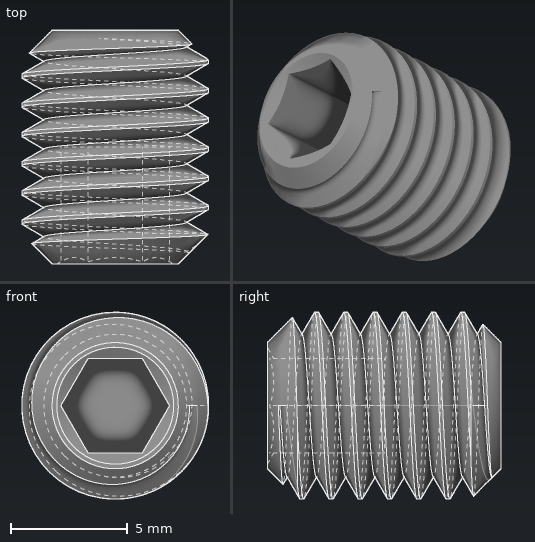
import cadquery as cq
import math


length = 10.0
thread_diameter = 8.0
pitch = 1.25
end_diameter = 5.4
hex_across_flats = 4.03
socket_depth = 5.0
countersink_diameter = 5.0
countersink_half_angle = 60.0
thread_flank_angle = 30.0
groove_turns = 8
groove_end_setback = 0.54
groove_overshoot = 0.06

thread_radius = thread_diameter / 2
end_radius = end_diameter / 2
half_length = length / 2
chamfer = thread_radius - end_radius
crest_width = pitch / 8
flank_slope = math.tan(math.radians(thread_flank_angle))
groove_depth = (pitch - crest_width) / 2 / flank_slope
root_radius = thread_radius - groove_depth
cutter_radius = thread_radius + groove_overshoot
cutter_half_width = (cutter_radius - root_radius) * flank_slope
hex_across_corners = hex_across_flats / math.cos(math.pi / 6)
countersink_radius = countersink_diameter / 2
countersink_depth = countersink_radius / math.tan(math.radians(countersink_half_angle))



def make_blank():
    """Solid of revolution with a 45 degree chamfer at both ends."""
    return (
        cq.Workplane("YZ")
        .moveTo(0, -half_length)
        .lineTo(end_radius, -half_length)
        .lineTo(thread_radius, chamfer - half_length)
        .lineTo(thread_radius, half_length - chamfer)
        .lineTo(end_radius, half_length)
        .lineTo(0, half_length)
        .close()
        .revolve(360, (0, 0, 0), (0, 1, 0))
    )


def make_groove_turn(start_height):
    """Cutter for one right-handed turn of the V groove, starting on the +X side."""
    helix = cq.Wire.makeHelix(pitch, pitch, root_radius, center=cq.Vector(0, 0, start_height))
    profile = (
        cq.Workplane("XZ")
        .moveTo(root_radius, start_height)
        .lineTo(cutter_radius, start_height - cutter_half_width)
        .lineTo(cutter_radius, start_height + cutter_half_width)
        .close()
    )
    return profile.sweep(cq.Workplane(obj=helix), isFrenet=True)


def cut_thread(blank):
    """Cut the thread turn by turn, ending on the +X side near the socket end."""
    groove_bottom = half_length - groove_end_setback - groove_turns * pitch
    threaded = blank
    for turn in range(groove_turns):
        threaded = threaded.cut(make_groove_turn(groove_bottom + turn * pitch))
    return threaded


def make_socket():
    """Flat-bottomed hexagon, corners on the X axis, with a conical countersink at its mouth."""
    hexagon = (
        cq.Workplane("XY", origin=(0, 0, half_length))
        .polygon(6, hex_across_corners)
        .extrude(-socket_depth)
    )
    countersink = (
        cq.Workplane("XZ")
        .moveTo(0, half_length)
        .lineTo(countersink_radius, half_length)
        .lineTo(0, half_length - countersink_depth)
        .close()
        .revolve(360, (0, 0, 0), (0, 1, 0))
    )
    return hexagon.union(countersink)


screw = cut_thread(make_blank()).cut(make_socket())
result = screw.rotate((0, 0, 0), (1, 0, 0), 90)